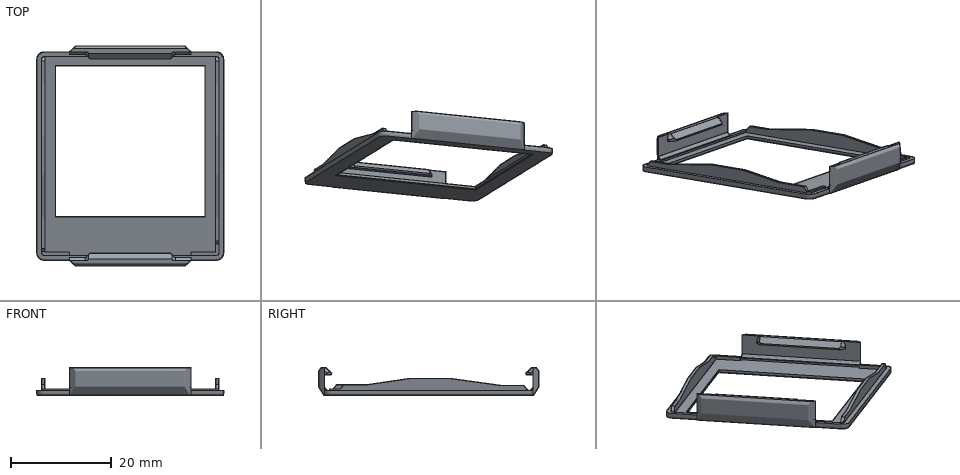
import cadquery as cq

frame_width = 37.15
frame_length = 41.4
frame_height = 1.0
corner_radius = 1.5
floor_height = 0.65
rim_width = 0.95
base_bevel_inset = 0.1
base_bevel_height = 0.35

window_width = 29.65
window_back = 17.95
window_front = -12.05
window_bottom_bevel = 0.18

wall_thickness = 0.65
lip_height = 1.3
wall_peak_height = 3.4
wall_back_height = 2.0
wall_front_height = 2.15
wall_back_bevel = 0.88
wall_front_bevel = 0.6
hump_back_foot = 14.3
hump_back_crest = 4.15
hump_front_crest = -3.68
hump_front_foot = -12.25
left_wall_end = -18.95
right_wall_end = -17.5

clip_width = 24.15
clip_reach = 21.88
clip_height = 5.5
clip_end_taper = 1.22
clip_top_bevel_depth = 0.5
clip_top_bevel_height = 0.65
clip_foot_reach = 20.82
clip_foot_bevel_height = 1.7
clip_face_fillet = 0.25
gusset_depth = 0.52
gusset_height = 0.6

hook_crest = 20.4
hook_tip = 19.25
hook_tip_height = 4.4
hook_underside = 4.1
hook_underside_tip = 19.4
hook_root_width = 17.95
hook_tip_width = 15.92
hook_crest_width = 16.55
hook_end_bevel_height = 0.7

edge_y = frame_length / 2
face_limit = clip_reach - clip_face_fillet / 2
recess_edge_x = frame_width / 2 - rim_width
recess_edge_y = edge_y - rim_width
hook_end_taper = (hook_root_width - hook_tip_width) / 2


def rounded_slab(inset, bottom, top):
    """Slab with the rounded outline of the frame, shrunk by the inset."""
    return (
        cq.Workplane("XY", origin=(0, 0, bottom))
        .rect(frame_width - 2 * inset, frame_length - 2 * inset)
        .extrude(top - bottom)
        .edges("|Z")
        .fillet(corner_radius - inset)
    )


def block(x_range, y_range, z_range):
    """Box given by its limits along each axis."""
    size = [high - low for low, high in (x_range, y_range, z_range)]
    corner = (x_range[0], y_range[0], z_range[0])
    return cq.Workplane("XY", origin=corner).box(*size, centered=False)


def make_frame():
    """Rounded plate with a shallow recess, a window and a bevelled bottom edge."""
    plate = rounded_slab(0, 0, frame_height)
    plate = plate.faces("<Z").chamfer(base_bevel_height, base_bevel_inset)
    recess = rounded_slab(rim_width, floor_height, frame_height)
    window = block(
        (-window_width / 2, window_width / 2),
        (window_front, window_back),
        (0, frame_height),
    )
    frame = plate.cut(recess).cut(window)
    window_edges = cq.selectors.BoxSelector(
        (-recess_edge_x, -recess_edge_y, -floor_height / 2),
        (recess_edge_x, recess_edge_y, floor_height / 2),
    )
    return frame.faces("<Z").edges(window_edges).chamfer(window_bottom_bevel)


def make_side_wall(inner_x, front_end):
    """Humped wall along one side, dropping to the lip height at its front end."""
    outline = [
        (recess_edge_y, 0),
        (recess_edge_y, frame_height),
        (recess_edge_y - wall_back_bevel, wall_back_height),
        (hump_back_foot, wall_back_height),
        (hump_back_crest, wall_peak_height),
        (hump_front_crest, wall_peak_height),
        (hump_front_foot, wall_front_height),
        (front_end + wall_front_bevel, wall_front_height),
        (front_end, lip_height),
        (-recess_edge_y, lip_height),
        (-recess_edge_y, 0),
    ]
    return (
        cq.Workplane("YZ", origin=(inner_x, 0, 0))
        .polyline(outline)
        .close()
        .extrude(wall_thickness)
    )


def make_front_lip(side):
    """Low lip inside the front rim, from a side wall to the end of the clip."""
    x_limits = sorted((side * clip_width / 2, side * recess_edge_x))
    y_limits = (-recess_edge_y, wall_thickness - recess_edge_y)
    return block(x_limits, y_limits, (0, lip_height))


def make_clip_plate():
    """Upright plate on the back edge with bevelled outer edges and a gusset inside."""
    profile = [
        (edge_y - gusset_depth, 0),
        (clip_foot_reach, 0),
        (clip_reach, clip_foot_bevel_height),
        (clip_reach, clip_height - clip_top_bevel_height),
        (clip_reach - clip_top_bevel_depth, clip_height),
        (edge_y, clip_height),
        (edge_y, frame_height + gusset_height),
        (edge_y - gusset_depth, frame_height),
    ]
    plate = cq.Workplane("YZ").polyline(profile).close().extrude(clip_width / 2, both=True)

    half_width = clip_width / 2
    plan = [
        (-half_width, edge_y - gusset_depth),
        (half_width, edge_y - gusset_depth),
        (half_width, edge_y),
        (half_width - clip_end_taper, clip_reach),
        (clip_end_taper - half_width, clip_reach),
        (-half_width, edge_y),
    ]
    tapered = cq.Workplane("XY").polyline(plan).close().extrude(clip_height)
    plate = plate.intersect(tapered)
    face_edges = plate.edges().filter(lambda edge: edge.BoundingBox().ymax > face_limit)
    return face_edges.fillet(clip_face_fillet)


def make_hook():
    """Hook on the inside of the back clip, with its ends tapered and bevelled."""
    profile = [
        (edge_y, hook_underside),
        (edge_y, clip_height),
        (hook_crest, clip_height),
        (hook_tip, hook_tip_height),
        (hook_underside_tip, hook_underside),
    ]
    bar = cq.Workplane("YZ").polyline(profile).close().extrude(hook_root_width / 2, both=True)

    plan = [
        (-hook_root_width / 2, edge_y),
        (hook_root_width / 2, edge_y),
        (hook_root_width / 2, hook_tip + hook_end_taper),
        (hook_tip_width / 2, hook_tip),
        (-hook_tip_width / 2, hook_tip),
        (-hook_root_width / 2, hook_tip + hook_end_taper),
    ]
    tapered = cq.Workplane("XY").polyline(plan).close().extrude(clip_height)

    slope = cq.Vector(0, hook_tip - hook_crest, hook_tip_height - clip_height)
    across_slope = cq.Plane(origin=(0, hook_crest, clip_height), xDir=(1, 0, 0), normal=slope)
    section = [
        (-hook_crest_width / 2, 0),
        (hook_crest_width / 2, 0),
        (hook_root_width / 2, -hook_end_bevel_height),
        (hook_root_width / 2, -clip_height),
        (-hook_root_width / 2, -clip_height),
        (-hook_root_width / 2, -hook_end_bevel_height),
    ]
    bevelled = (
        cq.Workplane(across_slope).polyline(section).close().extrude(clip_height, both=True)
    )
    return bar.intersect(tapered).intersect(bevelled)


back_clip = make_clip_plate().union(make_hook())
front_clip = back_clip.mirror("XZ")
left_wall = make_side_wall(-recess_edge_x, left_wall_end)
right_wall = make_side_wall(recess_edge_x - wall_thickness, right_wall_end)

inner_ring = left_wall.union(right_wall)
for side in (-1, 1):
    inner_ring = inner_ring.union(make_front_lip(side))
inner_ring = inner_ring.intersect(rounded_slab(rim_width, 0, wall_peak_height))

result = make_frame().union(inner_ring).union(back_clip).union(front_clip)